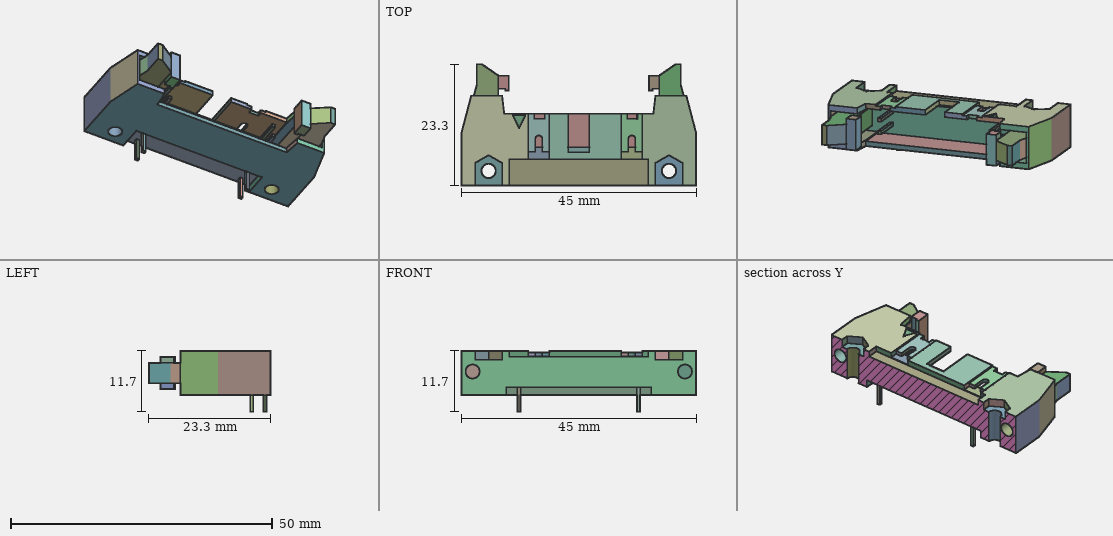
import cadquery as cq


LENGTH = 45.0
TOTAL_DEPTH = 23.3
TOTAL_HEIGHT = 11.7
BODY_HEIGHT = 8.5

HALF_LENGTH = LENGTH / 2
SIDE_DEPTH = 10.1
EAR_DEPTH = 17.3
EAR_OUTER_X = 20.6
EAR_INNER_X = 14.65
MOUTH_DEPTH = 13.8
MOUTH_HALF_WIDTH = 14.25

CAVITY_START = 7.4
CAVITY_WALL = 1.0
SLOT_WALL = 1.15

LATCH_INNER_X = 15.4
LATCH_OUTER_X = 19.58
LATCH_ROOT_X = 20.1
LATCH_TIP_WIDTH = 1.0
LATCH_SHOULDER_Y = 19.2
LATCH_THICKNESS = 3.9
HOOK_END_X = 13.4
HOOK_TOP_Y = 21.1
HOOK_BOTTOM_Y = 18.55
HOOK_LIP_WIDTH = 0.7
HOOK_LIP_DROP = 0.3

STEP_WIDTH = 26.6
STEP_LENGTH = 5.05
STEP_DROP = 1.12
KEY_WIDTH = 4.05
KEY_START = 6.4
CHANNEL_WIDTH = 4.05
CHANNEL_CENTERS = (-7.65, 10.15)
CHANNEL_DROP = 0.25
CHANNEL_PLATE_START = 6.52
SLIT_WIDTH = 1.35
SLIT_END = 9.65
EDGE_NOTCH_WIDTH = 2.02
EDGE_NOTCH_LENGTH = 1.0
EDGE_NOTCH_SHIFT = 0.1
MARK_CENTER_X = -11.45
MARK_WIDTH = 2.45
MARK_TIP_Y = 11.02
MARK_BASE_Y = 13.5
MARK_DEPTH = 0.22

HOLE_DIAMETER = 2.7
MOUNT_X = 17.3
MOUNT_Y = 2.85
NUT_WIDTH = 5.18
NUT_SIDE_Y = 4.35
NUT_PEAK_Y = 5.85
NUT_DEPTH = 1.65
REAR_HOLE_X = 20.35
REAR_HOLE_Z = 4.55
REAR_HOLE_DEPTH = 5.85

RELIEF_WIDTH = 27.75
RELIEF_HEIGHT = 1.55

PIN_SIZE = 0.65
PIN_PITCH = 2.5
PIN_X = 11.45
PIN_REAR_Y = 1.1
PIN_ROWS = 2
CONTACT_END_Y = MOUTH_DEPTH

SIDES = (-1, 1)


def block(x_range, y_range, z_range):
    """Box spanning the given (low, high) ranges."""
    (x0, x1), (y0, y1), (z0, z1) = x_range, y_range, z_range
    return cq.Workplane("XY").box(x1 - x0, y1 - y0, z1 - z0, centered=False).translate((x0, y0, z0))


def centered_range(center, width):
    return center - width / 2, center + width / 2


def prism(points, z_range):
    """Closed polygon in XY extruded over a height range."""
    low, high = z_range
    return cq.Workplane("XY").workplane(offset=low).polyline(points).close().extrude(high - low)


def for_side(side, points):
    """Place right-hand points on the right (1) or, mirrored, on the left (-1)."""
    return [(side * x, y) for x, y in points]


def below_top(depth):
    """Height range from a depth below the top face up to the top face."""
    return BODY_HEIGHT - depth, BODY_HEIGHT


def housing():
    half = [
        (HALF_LENGTH, 0),
        (HALF_LENGTH, SIDE_DEPTH),
        (EAR_OUTER_X, EAR_DEPTH),
        (EAR_INNER_X, EAR_DEPTH),
        (MOUTH_HALF_WIDTH, MOUTH_DEPTH),
    ]
    outline = half + for_side(-1, reversed(half))
    return prism(outline, (0, BODY_HEIGHT))


def cavity():
    return block(
        (-MOUTH_HALF_WIDTH, MOUTH_HALF_WIDTH),
        (CAVITY_START, EAR_DEPTH),
        (CAVITY_WALL, BODY_HEIGHT - CAVITY_WALL),
    )


def latch_slot(side):
    slot = [
        (MOUTH_HALF_WIDTH, CAVITY_START),
        (LATCH_ROOT_X, CAVITY_START),
        (LATCH_ROOT_X, EAR_DEPTH),
        (MOUTH_HALF_WIDTH, EAR_DEPTH),
    ]
    return prism(for_side(side, slot), (SLOT_WALL, BODY_HEIGHT - SLOT_WALL))


def latch(side):
    arm = [
        (LATCH_INNER_X, CAVITY_START),
        (LATCH_ROOT_X, CAVITY_START),
        (LATCH_ROOT_X, EAR_DEPTH),
        (LATCH_OUTER_X, LATCH_SHOULDER_Y),
        (LATCH_OUTER_X, TOTAL_DEPTH),
        (LATCH_OUTER_X - LATCH_TIP_WIDTH, TOTAL_DEPTH),
        (LATCH_INNER_X, HOOK_TOP_Y),
    ]
    lip_x = HOOK_END_X + HOOK_LIP_WIDTH
    hook = [
        (LATCH_INNER_X, HOOK_TOP_Y),
        (HOOK_END_X, HOOK_TOP_Y),
        (HOOK_END_X, HOOK_BOTTOM_Y - HOOK_LIP_DROP),
        (lip_x, HOOK_BOTTOM_Y - HOOK_LIP_DROP),
        (lip_x, HOOK_BOTTOM_Y),
        (LATCH_INNER_X, HOOK_BOTTOM_Y),
    ]
    arm_heights = centered_range(BODY_HEIGHT / 2, LATCH_THICKNESS)
    hook_heights = (SLOT_WALL, BODY_HEIGHT - SLOT_WALL)
    return prism(for_side(side, arm), arm_heights).union(prism(for_side(side, hook), hook_heights))


def rear_step():
    return block(centered_range(0, STEP_WIDTH), (0, STEP_LENGTH), below_top(STEP_DROP))


def key_notch():
    return block(centered_range(0, KEY_WIDTH), (KEY_START, MOUTH_DEPTH), below_top(CAVITY_WALL))


def channel(center_x):
    """Lowered strip of the top wall with a round-ended slit and a notch at the mouth edge."""
    width = centered_range(center_x, CHANNEL_WIDTH)
    strip = block(width, (CHANNEL_PLATE_START, MOUTH_DEPTH), below_top(CHANNEL_DROP))
    floor = block(width, (STEP_LENGTH, CHANNEL_PLATE_START), below_top(CAVITY_WALL))

    round_center_y = SLIT_END - SLIT_WIDTH / 2
    left, right = centered_range(center_x, SLIT_WIDTH)
    slit = (
        cq.Workplane("XY")
        .workplane(offset=BODY_HEIGHT - CAVITY_WALL)
        .moveTo(left, CHANNEL_PLATE_START)
        .lineTo(right, CHANNEL_PLATE_START)
        .lineTo(right, round_center_y)
        .threePointArc((center_x, SLIT_END), (left, round_center_y))
        .close()
        .extrude(CAVITY_WALL)
    )
    edge_notch = block(
        centered_range(center_x + EDGE_NOTCH_SHIFT, EDGE_NOTCH_WIDTH),
        (MOUTH_DEPTH - EDGE_NOTCH_LENGTH, MOUTH_DEPTH),
        below_top(CAVITY_WALL),
    )
    return strip.union(floor).union(slit).union(edge_notch)


def first_contact_mark():
    left, right = centered_range(MARK_CENTER_X, MARK_WIDTH)
    triangle = [(left, MARK_BASE_Y), (right, MARK_BASE_Y), (MARK_CENTER_X, MARK_TIP_Y)]
    return prism(triangle, below_top(MARK_DEPTH))


def mounting_hole(side):
    """Through hole under a nut pocket that is open at the rear face."""
    left, right = centered_range(MOUNT_X, NUT_WIDTH)
    pocket = [(left, 0), (right, 0), (right, NUT_SIDE_Y), (MOUNT_X, NUT_PEAK_Y), (left, NUT_SIDE_Y)]
    hole = cq.Workplane("XY").center(side * MOUNT_X, MOUNT_Y).circle(HOLE_DIAMETER / 2).extrude(BODY_HEIGHT)
    return hole.union(prism(for_side(side, pocket), below_top(NUT_DEPTH)))


def rear_hole(side):
    sketch = cq.Workplane("XZ").center(side * REAR_HOLE_X, REAR_HOLE_Z)
    return sketch.circle(HOLE_DIAMETER / 2).extrude(-REAR_HOLE_DEPTH)


def underside_relief():
    return block(centered_range(0, RELIEF_WIDTH), (0, STEP_LENGTH), (0, RELIEF_HEIGHT))


def contact(x, row):
    """L-shaped contact: a tail out of the underside and a blade in the cavity."""
    tail_y = PIN_REAR_Y + row * PIN_PITCH
    blade_z = BODY_HEIGHT / 2 + ((PIN_ROWS - 1) / 2 - row) * PIN_PITCH
    width = centered_range(x, PIN_SIZE)
    tail = block(width, centered_range(tail_y, PIN_SIZE), (BODY_HEIGHT - TOTAL_HEIGHT, blade_z))
    blade = block(width, (tail_y, CONTACT_END_Y), centered_range(blade_z, PIN_SIZE))
    return tail.union(blade)


body = housing().cut(cavity()).cut(rear_step()).cut(key_notch())
body = body.cut(first_contact_mark()).cut(underside_relief())
for channel_x in CHANNEL_CENTERS:
    body = body.cut(channel(channel_x))
for side in SIDES:
    body = body.cut(latch_slot(side)).cut(mounting_hole(side)).cut(rear_hole(side))
    body = body.union(latch(side))
    for row in range(PIN_ROWS):
        body = body.union(contact(side * PIN_X, row))

result = body